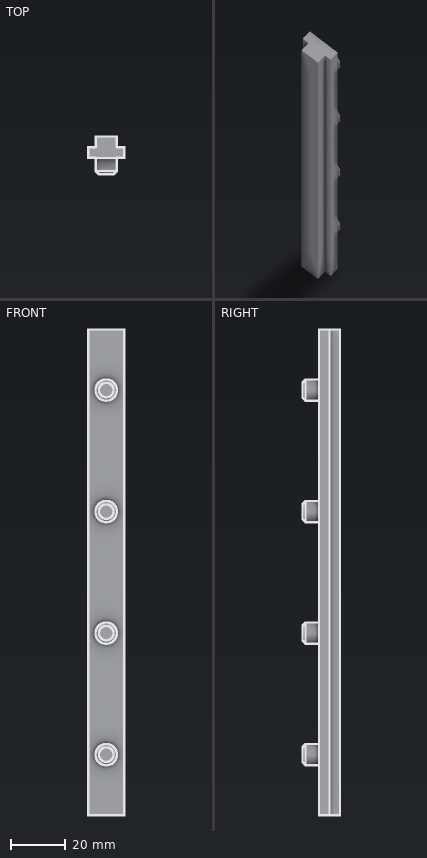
import cadquery as cq

rail_length = 180.0
flange_width = 13.5
flange_thickness = 4.0
web_width = 8.0
web_thickness = 4.0

pin_count = 4
pin_diameter = 8.0
pin_protrusion = 6.1
pin_embedment = flange_thickness
pin_chamfer = 1.3
pin_pitch = rail_length / pin_count
pin_heights = [(index + 0.5) * pin_pitch for index in range(pin_count)]


def make_rail():
    """T-section bar, wide face on Y = 0 and lower end on Z = 0, with a blind hole for each pin."""
    flange = cq.Workplane("XY").box(
        flange_width, flange_thickness, rail_length, centered=(True, False, False)
    )
    web = (
        cq.Workplane("XY")
        .box(web_width, web_thickness, rail_length, centered=(True, False, False))
        .translate((0, flange_thickness, 0))
    )
    pin_holes = (
        cq.Workplane("XZ")
        .pushPoints([(0, height) for height in pin_heights])
        .circle(pin_diameter / 2)
        .extrude(-pin_embedment)
    )
    return flange.union(web).cut(pin_holes)


def make_pin(height):
    """Round pin seated in its blind hole and standing out toward -Y, with a chamfered free end."""
    return (
        cq.Workplane("XZ", origin=(0, pin_embedment, 0))
        .center(0, height)
        .circle(pin_diameter / 2)
        .extrude(pin_embedment + pin_protrusion)
        .faces("<Y")
        .chamfer(pin_chamfer)
    )


rail = make_rail()
pins = [make_pin(height) for height in pin_heights]

result = cq.Compound.makeCompound([rail.val(), *[pin.val() for pin in pins]])